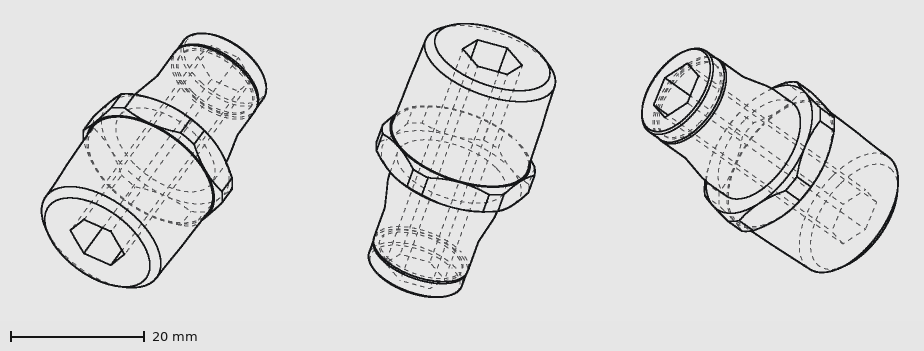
import cadquery as cq
import math

total_length = 38.5

thread_tip_radius = 9.05
thread_chamfer_radius = 10.28
thread_chamfer_length = 1.15
thread_gauge_radius = 10.55
thread_gauge_y = 8.25
thread_root_radius = 10.75

nut_start_y = 16.05
nut_length = 4.45
nut_across_flats = 22.0
nut_corner_diameter = 24.0
nut_chamfer_radius = nut_across_flats / 2
nut_chamfer_slope = 0.7

body_radius = 8.55
body_end_y = 24.4
neck_radius = 7.45
neck_start_y = 30.38
neck_end_y = 35.42
blend_length = 0.95

collar_radius = 7.4
collar_start_y = 35.8
collar_chamfer = 0.3
groove_radius = 6.55

key_across_flats = 8.05


def hex_prism(across_flats, start_y, length):
    """Hexagonal bar along Y with two corners on the X axis."""
    across_corners = across_flats / math.cos(math.pi / 6)
    return (
        cq.Workplane("XZ", origin=(0, start_y, 0))
        .polygon(6, across_corners)
        .extrude(-length)
    )


def revolve_about_y(outline):
    return outline.close().revolve(360, (0, 0, 0), (0, 1, 0))


def make_turned_body():
    taper_slope = (body_radius - neck_radius) / (neck_start_y - body_end_y - blend_length)
    taper_start = (body_radius - taper_slope * blend_length / 2, body_end_y + blend_length)
    taper_end = (neck_radius + taper_slope * blend_length / 2, neck_start_y - blend_length)
    outline = (
        cq.Workplane("XY")
        .lineTo(thread_tip_radius, 0)
        .lineTo(thread_chamfer_radius, thread_chamfer_length)
        .lineTo(thread_gauge_radius, thread_gauge_y)
        .lineTo(thread_root_radius, nut_start_y)
        .lineTo(body_radius, nut_start_y)
        .lineTo(body_radius, body_end_y)
        .tangentArcPoint(taper_start, relative=False)
        .lineTo(*taper_end)
        .tangentArcPoint((neck_radius, neck_start_y), relative=False)
        .lineTo(neck_radius, neck_end_y)
        .lineTo(groove_radius, neck_end_y)
        .lineTo(groove_radius, collar_start_y)
        .lineTo(collar_radius, collar_start_y)
        .lineTo(collar_radius, total_length - collar_chamfer)
        .lineTo(collar_radius - collar_chamfer, total_length)
        .lineTo(0, total_length)
    )
    return revolve_about_y(outline)


def make_nut():
    """Hexagon trimmed by a cylinder with a cone at each end."""
    corner_radius = nut_corner_diameter / 2
    cone_length = (corner_radius - nut_chamfer_radius) * nut_chamfer_slope
    nut_end_y = nut_start_y + nut_length
    envelope = (
        cq.Workplane("XY")
        .moveTo(0, nut_start_y)
        .lineTo(nut_chamfer_radius, nut_start_y)
        .lineTo(corner_radius, nut_start_y + cone_length)
        .lineTo(corner_radius, nut_end_y - cone_length)
        .lineTo(nut_chamfer_radius, nut_end_y)
        .lineTo(0, nut_end_y)
    )
    hexagon = hex_prism(nut_across_flats, nut_start_y, nut_length)
    return hexagon.intersect(revolve_about_y(envelope))


key_bore = hex_prism(key_across_flats, 0, total_length)
result = make_turned_body().union(make_nut()).cut(key_bore)